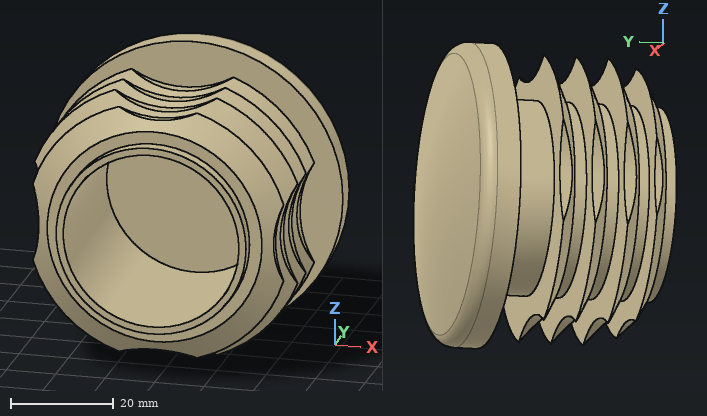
import cadquery as cq
import math


CAP_RADIUS = 30.0
CAP_HEIGHT = 10.8
RIM_FILLET = 3.0
RIM_STRAIGHT_HEIGHT = 4.75

STEM_RADIUS = 19.2
BORE_RADIUS = 17.75
STEM_LENGTH = 34.0

FIN_PITCH = 6.5
FIRST_FIN_OFFSET = 9.35
FULL_FIN_COUNT = 3
FIN_ROOT_RADIUS = 21.7
FIN_TIP_RADIUS = 28.55
FIN_THICKNESS = 3.55
END_FIN_OFFSET = 28.5
END_FIN_TIP_RADIUS = 26.6
END_FIN_THICKNESS = 2.75

NOTCH_COUNT = 4
NOTCH_RADIUS = 20.0
NOTCH_FLOOR_RADIUS = 23.75


def make_cap():
    """Disc whose rounded rim runs tangent into a shallow spherical dome."""
    fillet_center_x = CAP_RADIUS - RIM_FILLET
    apex_drop = CAP_HEIGHT - RIM_STRAIGHT_HEIGHT
    dome_radius = (fillet_center_x**2 + apex_drop**2 - RIM_FILLET**2) / (2 * (apex_drop - RIM_FILLET))
    dome_center_y = CAP_HEIGHT - dome_radius
    dome_angle = math.asin(fillet_center_x / (dome_radius - RIM_FILLET))

    def dome_point(angle):
        return dome_radius * math.sin(angle), dome_center_y + dome_radius * math.cos(angle)

    fillet_mid_angle = (dome_angle + math.pi / 2) / 2
    fillet_mid = (
        fillet_center_x + RIM_FILLET * math.sin(fillet_mid_angle),
        RIM_STRAIGHT_HEIGHT + RIM_FILLET * math.cos(fillet_mid_angle),
    )
    profile = (
        cq.Workplane("XY")
        .lineTo(CAP_RADIUS, 0)
        .lineTo(CAP_RADIUS, RIM_STRAIGHT_HEIGHT)
        .threePointArc(fillet_mid, dome_point(dome_angle))
        .threePointArc(dome_point(dome_angle / 2), (0, CAP_HEIGHT))
        .close()
    )
    return profile.revolve(360, (0, 0), (0, 1))


def make_cylinder(radius, length):
    """Cylinder from the cap underside towards -Y."""
    return cq.Workplane("XZ").circle(radius).extrude(length)


def make_fin(offset, tip_radius, thickness):
    """Ring with a flat face towards the cap and a conical face towards the stem end."""
    profile = (
        cq.Workplane("XY")
        .moveTo(0, -offset)
        .lineTo(tip_radius, -offset)
        .lineTo(FIN_ROOT_RADIUS, -offset - thickness)
        .lineTo(0, -offset - thickness)
        .close()
    )
    return profile.revolve(360, (0, 0), (0, 1))


def make_notches():
    """Cylinders parallel to the axis that scallop the fins along X and Z."""
    return (
        cq.Workplane("XZ")
        .polarArray(NOTCH_FLOOR_RADIUS + NOTCH_RADIUS, 0, 360, NOTCH_COUNT)
        .circle(NOTCH_RADIUS)
        .extrude(STEM_LENGTH, combine=False)
    )


stem = make_cylinder(STEM_RADIUS, STEM_LENGTH)
for index in range(FULL_FIN_COUNT):
    stem = stem.union(make_fin(FIRST_FIN_OFFSET + index * FIN_PITCH, FIN_TIP_RADIUS, FIN_THICKNESS))
stem = stem.union(make_fin(END_FIN_OFFSET, END_FIN_TIP_RADIUS, END_FIN_THICKNESS))
stem = stem.cut(make_notches())

stem = stem.cut(make_cylinder(BORE_RADIUS, STEM_LENGTH))

result = make_cap().union(stem)